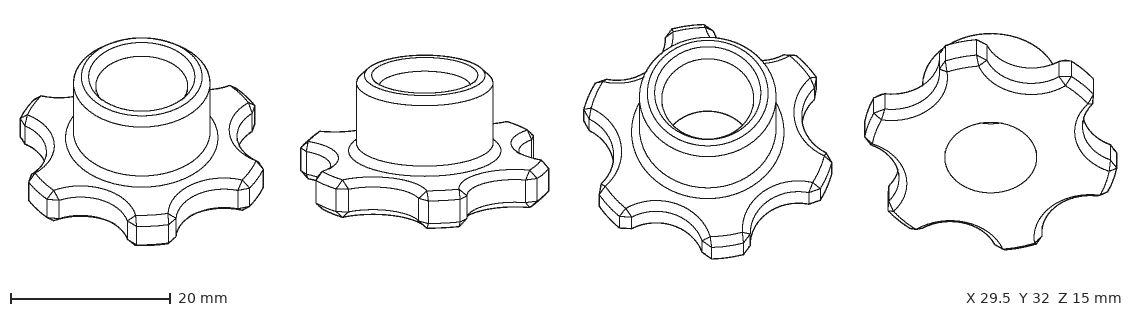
import cadquery as cq

overall_height = 15.0
flange_radius = 16.0
flange_thickness = 5.0
edge_chamfer = 1.0

lobe_count = 6
scallop_radius = 6.0
scallop_center_radius = 18.0

collar_radius = 17.1 / 2
bore_radius = 11.5 / 2
bore_chamfer_width = 0.9
bore_chamfer_depth = 1.5


def make_star_flange():
    """Disc with scallops between the lobes; every edge is chamfered."""
    disc = cq.Workplane("XY").circle(flange_radius).extrude(flange_thickness)
    scallops = (
        cq.Workplane("XY")
        .polarArray(scallop_center_radius, 0, 360, lobe_count)
        .circle(scallop_radius)
        .extrude(flange_thickness)
    )
    star = disc.cut(scallops)
    return star.edges().chamfer(edge_chamfer)


def make_collar():
    """Solid collar with a chamfered top edge and a conical skirt at its foot."""
    return (
        cq.Workplane("XZ")
        .moveTo(0, 0)
        .lineTo(collar_radius + edge_chamfer, 0)
        .lineTo(collar_radius + edge_chamfer, flange_thickness)
        .lineTo(collar_radius, flange_thickness + edge_chamfer)
        .lineTo(collar_radius, overall_height - edge_chamfer)
        .lineTo(collar_radius - edge_chamfer, overall_height)
        .lineTo(0, overall_height)
        .close()
        .revolve(360, (0, 0, 0), (0, 1, 0))
    )


def make_bore():
    """Through bore widening into a countersink at the top of the collar."""
    return (
        cq.Workplane("XZ")
        .moveTo(0, 0)
        .lineTo(bore_radius, 0)
        .lineTo(bore_radius, overall_height - bore_chamfer_depth)
        .lineTo(bore_radius + bore_chamfer_width, overall_height)
        .lineTo(0, overall_height)
        .close()
        .revolve(360, (0, 0, 0), (0, 1, 0))
    )


result = make_star_flange().union(make_collar()).cut(make_bore())